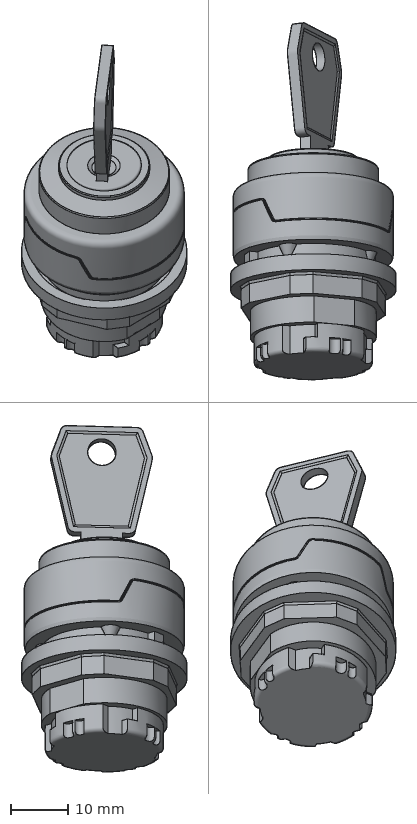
import cadquery as cq
import math

total_height = 60.65

base_dia = 20.75
base_top = 5.1
base_round = 0.7
bayonet_floor_dia = 18.6
bayonet_entry_y = -6.35
bayonet_end_x = -3.0
bayonet_catch_x = -4.85
catch_top = 2.6
scallops = [(0.2, 1.05), (2.55, 0.85)]
quarter_angles = [0, 90, 180, 270]

body_dia = 22.1
body_step = 9.8
body_top = 16.45
body_width = 20.75
nut_across_flats = 24.1
nut_across_corner_flats = 25.5
nut_flare_start = 13.2
nut_flare = 0.2

flange_dia = 29.0
flange_bottom = 13.7
flange_top = 16.55
flange_groove_dia = 25.35
flange_groove_depth = 1.8

neck_dia = 21.85
rib_bottom = 16.7
rib_axis_radius = 10.3
rib_top_radius = 1.75
rib_first_angle = 45
tab_bottom = 16.9
tab_reach = 12.4
tab_width = 2.4

collar_dia = 28.1
collar_bottom = 19.35
collar_taper_height = 0.6
collar_taper = 0.2
collar_top = 31.65
collar_round = 1.15

parting_low = 22.9
parting_high = 27.35
parting_low_half_width = 8.8
parting_high_half_width = 7.0
parting_round = 0.6
parting_width = 0.25
parting_depth = 0.2

cap_dia = 22.9
cap_edge_bottom = 35.4
cap_cone_bottom = 35.65
cap_cone_dia = 22.6
cap_cone_top = 36.5
ring_dia = 16.0
ring_top = 37.35
ring_chamfer = 0.2
plug_dia = 13.05
plug_top = 37.7
plug_round = 0.335
recess_dia = 5.7
recess_floor_dia = 4.25
recess_depth = 0.4

key_angle = -46.5
key_offset = 0.5
key_thickness = 2.0
blade_width = 7.3
blade_bottom = 36.4
keyway_clearance = 0.3
bow_bottom = 40.75
bow_widest = 55.1
bow_width = 17.9
bow_top_width = 13.95
bow_bottom_width = 11.5
bow_corner_round = 1.2
bow_side_round = 1.95
panel_inset = 1.0
panel_wall = 0.4
panel_depth = 0.2
key_hole_dia = 5.0
key_hole_height = 55.9


def cylinder(diameter, bottom, top):
    return cq.Workplane("XY").workplane(offset=bottom).circle(diameter / 2).extrude(top - bottom)


def block(x_min, x_max, y_min, y_max, bottom, top):
    size = (x_max - x_min, y_max - y_min, top - bottom)
    return cq.Workplane("XY").box(*size, centered=False).translate((x_min, y_min, bottom))


def make_base():
    base = cylinder(base_dia, 0, base_top).faces("<Z").edges().fillet(base_round)

    slot = block(-base_dia, bayonet_end_x, -base_dia, bayonet_entry_y, 0, base_top)
    slot = slot.cut(block(bayonet_catch_x, bayonet_end_x, -base_dia, 0, 0, catch_top))
    slot = slot.cut(cylinder(bayonet_floor_dia, 0, base_top))

    base_radius = base_dia / 2
    for offset, radius in scallops:
        edge_y = -math.sqrt(base_radius**2 - offset**2)
        slot = slot.union(cylinder(2 * radius, 0, catch_top).translate((offset, edge_y, 0)))

    for angle in quarter_angles:
        base = base.cut(slot.rotate((0, 0, 0), (0, 0, 1), angle))
    return base


def make_body():
    body = cylinder(body_dia, base_top, body_top)
    flats = block(-body_width / 2, body_width / 2, -body_dia, body_dia, base_top, body_step)
    flats = flats.union(cylinder(body_dia, body_step, body_top))
    return body.intersect(flats)


def hexagon_prism(across_flats, turn):
    """Hexagon with a corner on X before it is turned, flaring out just under the flange."""
    hexagon_dia = across_flats / math.cos(math.pi / 6)
    straight = (
        cq.Workplane("XY").workplane(offset=body_step)
        .polygon(6, hexagon_dia).extrude(nut_flare_start - body_step)
    )
    flare_height = flange_bottom - nut_flare_start
    flare_angle = math.degrees(math.atan(nut_flare / flare_height))
    flared = (
        cq.Workplane("XY").workplane(offset=nut_flare_start)
        .polygon(6, hexagon_dia).extrude(flare_height, taper=-flare_angle)
    )
    return straight.union(flared).rotate((0, 0, 0), (0, 0, 1), turn)


def make_nut():
    half_step = 30
    main_hexagon = hexagon_prism(nut_across_flats, half_step)
    corner_hexagon = hexagon_prism(nut_across_corner_flats, 0)
    return main_hexagon.intersect(corner_hexagon)


def make_flange():
    groove_bottom = flange_top - flange_groove_depth
    groove = cylinder(flange_groove_dia, groove_bottom, flange_top)
    return cylinder(flange_dia, flange_bottom, flange_top).cut(groove)


def make_neck():
    neck = cylinder(neck_dia, body_top, collar_bottom)

    tip_radius = neck_dia / 2 - rib_axis_radius
    rib_height = collar_bottom - rib_bottom
    tip = cq.Vector(rib_axis_radius, 0, rib_bottom)
    rib = cq.Workplane(cq.Solid.makeCone(tip_radius, rib_top_radius, rib_height, tip))
    for angle in quarter_angles:
        neck = neck.union(rib.rotate((0, 0, 0), (0, 0, 1), angle + rib_first_angle))

    tab = block(-tab_width / 2, tab_width / 2, 0, tab_reach, tab_bottom, collar_bottom)
    return neck.union(tab)


def make_parting_groove():
    outside = collar_dia
    bend_edges = cq.selectors.BoxSelector(
        (-collar_dia / 2, -outside, parting_low - parting_width),
        (collar_dia / 2, outside, parting_high + parting_width),
    )
    lower_region = (
        cq.Workplane("XZ")
        .polyline([
            (-outside, 0),
            (-outside, parting_low),
            (-parting_low_half_width, parting_low),
            (-parting_high_half_width, parting_high),
            (parting_high_half_width, parting_high),
            (parting_low_half_width, parting_low),
            (outside, parting_low),
            (outside, 0),
        ])
        .close()
        .extrude(outside, both=True)
        .edges("|Y").edges(bend_edges)
        .fillet(parting_round)
    )
    outline = lower_region.faces("<Y").wires().val()
    grown_outline = outline.offset2D(parting_width)[0]
    grown_region = cq.Workplane(cq.Solid.extrudeLinear(grown_outline, [], cq.Vector(0, 2 * outside, 0)))
    band = grown_region.cut(lower_region)
    skin = cylinder(collar_dia + 2 * parting_depth, collar_bottom, collar_top)
    skin = skin.cut(cylinder(collar_dia - 2 * parting_depth, collar_bottom, collar_top))
    return band.intersect(skin)


def make_collar():
    radius = collar_dia / 2
    taper_top = collar_bottom + collar_taper_height
    diagonal = collar_round * (1 - math.sqrt(0.5))
    collar = (
        cq.Workplane("XZ")
        .moveTo(0, collar_bottom)
        .lineTo(radius - collar_taper, collar_bottom)
        .lineTo(radius, taper_top)
        .lineTo(radius, collar_top - collar_round)
        .threePointArc((radius - diagonal, collar_top - diagonal), (radius - collar_round, collar_top))
        .lineTo(0, collar_top)
        .close()
        .revolve(360, (0, 0, 0), (0, 1, 0))
    )
    return collar.cut(make_parting_groove())


def place_key(shape):
    """Move a shape made along X to the turned and shifted place of the key."""
    return shape.translate((key_offset, 0, 0)).rotate((0, 0, 0), (0, 0, 1), key_angle)


def make_cap():
    cap_outline = [
        (0, collar_top),
        (cap_dia / 2, collar_top),
        (cap_dia / 2, cap_edge_bottom),
        (cap_cone_dia / 2, cap_cone_bottom),
        (ring_dia / 2, cap_cone_top),
        (ring_dia / 2, ring_top - ring_chamfer),
        (ring_dia / 2 - ring_chamfer, ring_top),
        (0, ring_top),
    ]
    cap = cq.Workplane("XZ").polyline(cap_outline).close().revolve(360, (0, 0, 0), (0, 1, 0))
    plug = cylinder(plug_dia, ring_top, plug_top).faces(">Z").edges().fillet(plug_round)
    floor_center = cq.Vector(0, 0, plug_top - recess_depth)
    recess = cq.Workplane(cq.Solid.makeCone(
        recess_floor_dia / 2, recess_dia / 2, recess_depth, floor_center))
    return cap.union(plug).cut(place_key(recess))


def bow_outline():
    return (
        cq.Workplane("XZ")
        .polyline([
            (-bow_bottom_width / 2, bow_bottom),
            (bow_bottom_width / 2, bow_bottom),
            (bow_width / 2, bow_widest),
            (bow_top_width / 2, total_height),
            (-bow_top_width / 2, total_height),
            (-bow_width / 2, bow_widest),
        ])
        .close()
    )


def make_key():
    half_thickness = key_thickness / 2
    bow = bow_outline().extrude(half_thickness, both=True)
    bow = bow.edges("|Y").edges("<Z or >Z").fillet(bow_corner_round)
    side_edges = cq.selectors.BoxSelector(
        (-bow_width, -key_thickness, bow_widest - bow_side_round),
        (bow_width, key_thickness, bow_widest + bow_side_round),
    )
    bow = bow.edges("|Y").edges(side_edges).fillet(bow_side_round)

    wall_angle = math.degrees(math.atan(panel_wall / panel_depth))
    panel = bow_outline().offset2D(-panel_inset).extrude(panel_depth, taper=wall_angle)
    panel = panel.mirror("XZ").translate((0, -half_thickness, 0))
    bow = bow.cut(panel).cut(panel.mirror("XZ"))

    hole = cq.Workplane("XZ").center(0, key_hole_height).circle(key_hole_dia / 2)
    bow = bow.cut(hole.extrude(key_thickness, both=True))

    half_width = blade_width / 2
    blade = block(-half_width, half_width, -half_thickness, half_thickness, blade_bottom, bow_bottom)
    return place_key(bow.union(blade))


def make_keyway():
    half_width = blade_width / 2 + keyway_clearance
    half_thickness = key_thickness / 2
    return place_key(block(-half_width, half_width, -half_thickness, half_thickness, blade_bottom, plug_top))


result = (
    make_base()
    .union(make_body())
    .union(make_nut())
    .union(make_flange())
    .union(make_neck())
    .union(make_collar())
    .union(make_cap().cut(make_keyway()))
    .union(make_key())
)